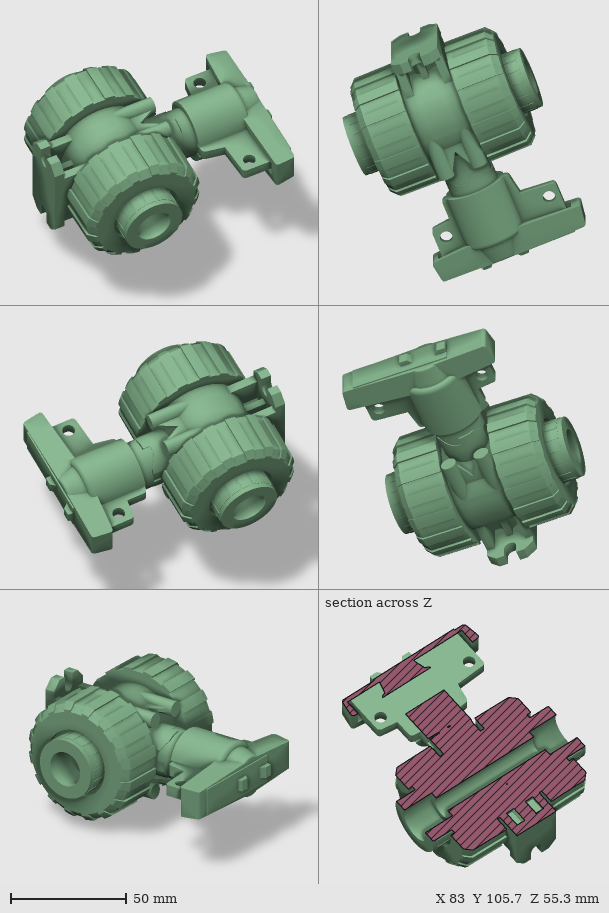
import cadquery as cq
import math


body_radius = 42.0 / 2
flow_bore_diameter = 10.0
end_half_length = 83.0 / 2
end_diameter = 27.3
socket_diameter = 16.0
socket_depth = 14.8
pad_count = 16
pad_width = 4.3
pad_diameter = 27.7
pad_outer_x = 39.2

nut_inner_x = 12.0
nut_outer_x = 33.5
nut_chamfer = 3.0
nut_radius = 27.8
nut_draft = 0.2
nut_recess_diameter = 30.9
nut_recess_depth = 2.1
groove_count = 16
groove_width = 5.8
groove_depth = 1.1

rib_diameter = 7.0
rib_x = 7.6
rib_z = 16.9
rib_start_y = 3.2
rib_end_y = 23.7
guard_web_top_z = 17.8
guard_web_thickness = 1.7
guard_notch_tip_y = 13.8
guard_notch_half_width = 5.4

neck_radius = 11.3
neck_half_width = 10.1
neck_root_y = 8.5
neck_top_y = 30.6
stem_radius = 22.0 / 2
stem_top_y = 47.5
skirt_low_y = 27.4
skirt_high_y = 31.1
skirt_ramp_start_angle = -27.0
skirt_ramp_end_angle = 10.0
quadrant_angles = (45, 135, 225, 315)

hub_radius = 13.7
hub_bottom_y = 36.1
hub_top_y = 61.7
hub_rounding = 2.2
hub_slot_width = 7.0
hub_slot_top_y = 60.2
cone_base_radius = 11.4
cone_top_radius = 9.3
cone_rounding = 0.8

bar_top_y = 69.8
bar_left_x = -29.9
bar_right_x = 39.9
bar_end_bottom_y = 60.2
bar_mid_bottom_y = 58.4
bar_mid_half_length = 8.5
bar_end_slant = 1.4
bar_rounding = 1.4
bar_end_half_top = 6.3
bar_end_half_bottom = 7.1
bar_mid_half_top = 8.2
bar_mid_half_bottom = 9.0
pocket_width = 7.6
pocket_left_wall = 3.2
pocket_right_wall = 4.4
pocket_top_y = 67.6
cap_top_y = 70.5
cap_width = 12.5

key_thickness = 5.1
ear_left_x = -24.9
ear_right_x = 33.3
ear_outer_y = 47.5
ear_inner_y = 46.4
key_left_x = -15.6
key_right_x = 17.3
key_right_taper = 1.7
key_corner_y = 36.7
key_rounding = 1.8
ear_hole_diameter = 5.5
ear_hole_y = 52.7
ear_hole_left_x = -20.0
ear_hole_right_x = 28.3
fork_half_width = 10.8
fork_tip_y = 72.7
fork_tip_x = 7.0
fork_root_x = 5.1
fork_rounding = 0.5

foot_half_width = 10.8
foot_half_height = 44.1 / 2
foot_outer_y = -33.0
foot_thickness = 4.6
foot_chamfer = 4.1
foot_slot_width = 5.7
foot_slot_center_z = 17.1
foot_root_y = -10.6
leg_thickness = 3.7
leg_half_height = 14.4
foot_boss_diameter = 8.7
stiffener_thickness = 3.0
stiffener_half_height = 8.9


def box(x_range, y_range, z_range):
    """Axis-aligned box between the given limits."""
    size = [high - low for low, high in (x_range, y_range, z_range)]
    corner = (x_range[0], y_range[0], z_range[0])
    return cq.Workplane("XY").box(*size, centered=False).translate(corner)


def cylinder_x(radius, x_start, x_end):
    """Cylinder on the flow axis."""
    return cq.Workplane("YZ", origin=(x_start, 0, 0)).circle(radius).extrude(x_end - x_start)


def cylinder_y(radius, y_start, y_end, x=0.0, z=0.0):
    """Cylinder parallel to the stem axis."""
    return cq.Workplane("XZ", origin=(x, y_start, z)).circle(radius).extrude(y_start - y_end)


def plate_xy(points, thickness):
    """Flat plate with the given XY outline, centred on Z = 0."""
    return cq.Workplane("XY").polyline(points).close().extrude(thickness / 2, both=True)


def nut_blank(outer_radius):
    """Drafted, chamfered disc on the +X side."""
    chamfer_x = nut_outer_x - nut_chamfer
    edge_radius = outer_radius - nut_draft
    profile = [
        (nut_inner_x, 0),
        (nut_inner_x, outer_radius),
        (chamfer_x, edge_radius),
        (nut_outer_x, edge_radius - nut_chamfer),
        (nut_outer_x, 0),
    ]
    return cq.Workplane("XY").polyline(profile).close().revolve(360, (0, 0, 0), (1, 0, 0))


def union_nut():
    """Nut with grip grooves all round and a recess around the pipe end."""
    rim = nut_blank(nut_radius).cut(nut_blank(nut_radius - groove_depth))
    groove_bar = box((0, end_half_length), (-groove_width / 2, groove_width / 2), (0, nut_radius + 1.1))
    for i in range(groove_count):
        rim = rim.cut(groove_bar.rotate((0, 0, 0), (1, 0, 0), i * 360 / groove_count))
    recess = cylinder_x(nut_recess_diameter / 2, nut_outer_x - nut_recess_depth, nut_outer_x)
    return rim.union(nut_blank(nut_radius - groove_depth)).cut(recess)


def pipe_end():
    """Pipe end on the +X side with low raised pads behind its plain collar."""
    end = cylinder_x(end_diameter / 2, 0, end_half_length)
    pad_ring = cylinder_x(pad_diameter / 2, nut_inner_x, pad_outer_x)
    pad_bar = box((0, end_half_length), (-pad_width / 2, pad_width / 2), (0, nut_radius))
    for i in range(pad_count):
        end = end.union(pad_ring.intersect(pad_bar.rotate((0, 0, 0), (1, 0, 0), i * 360 / pad_count)))
    return end


def guard():
    """Two round ribs joined by a notched web, on the +Z side of the neck."""
    web = box(
        (-rib_x, rib_x),
        (0, rib_end_y),
        (guard_web_top_z - guard_web_thickness, guard_web_top_z),
    )
    notch = (
        cq.Workplane("XY")
        .polyline(
            [
                (0, guard_notch_tip_y),
                (guard_notch_half_width, rib_end_y),
                (-guard_notch_half_width, rib_end_y),
            ]
        )
        .close()
        .extrude(guard_web_top_z)
    )
    pair = web.cut(notch)
    for x in (-rib_x, rib_x):
        pair = pair.union(cylinder_y(rib_diameter / 2, rib_start_y, rib_end_y, x, rib_z))
    return pair


def skirt_notch(angle):
    """Ramped cut-out under one quadrant of the stem skirt; angle is its middle direction."""
    reach = 2 * stem_radius
    ramp_start = stem_radius * math.sin(math.radians(skirt_ramp_start_angle))
    ramp_end = stem_radius * math.sin(math.radians(skirt_ramp_end_angle))
    ramp = (
        cq.Workplane("XY")
        .polyline(
            [
                (-ramp_start, skirt_low_y),
                (-ramp_end, skirt_high_y),
                (-reach, skirt_high_y),
                (-reach, skirt_low_y),
            ]
        )
        .close()
        .extrude(reach)
    )
    ramp = ramp.rotate((0, 0, 0), (0, 1, 0), 90 - angle)
    quadrant = box((0, reach), (0, hub_bottom_y), (0, reach))
    quadrant = quadrant.rotate((0, 0, 0), (0, 1, 0), 45 - angle)
    return ramp.intersect(quadrant)


def neck_and_stem():
    """Flat-sided neck whose raised stops fill the cut-outs of the stem skirt."""
    stem = cylinder_y(stem_radius, skirt_low_y, stem_top_y)
    flats = box(
        (-neck_half_width, neck_half_width),
        (neck_root_y, neck_top_y),
        (-neck_radius, neck_radius),
    )
    neck = cylinder_y(neck_radius, neck_root_y, neck_top_y).intersect(flats)
    lower_neck = neck.intersect(cylinder_y(neck_radius, neck_root_y, skirt_low_y))
    for angle in quadrant_angles:
        notch = skirt_notch(angle)
        stem = stem.cut(notch)
        lower_neck = lower_neck.union(neck.intersect(notch))
    return stem.union(lower_neck)


def bar_section(x, half_top, half_bottom):
    """Trapezoid across the bar at the given X, wider at the bottom."""
    return [
        cq.Vector(x, bar_mid_bottom_y, -half_bottom),
        cq.Vector(x, bar_top_y, -half_top),
        cq.Vector(x, bar_top_y, half_top),
        cq.Vector(x, bar_mid_bottom_y, half_bottom),
    ]


def handle_bar():
    """Bar with slanted ends, thinning from the hub to both ends, hollow from below."""
    outline = [
        (bar_left_x, bar_end_bottom_y),
        (bar_left_x + bar_end_slant, bar_top_y),
        (bar_right_x - bar_end_slant, bar_top_y),
        (bar_right_x, bar_end_bottom_y),
        (bar_mid_half_length, bar_mid_bottom_y),
        (-bar_mid_half_length, bar_mid_bottom_y),
    ]
    blank = plate_xy(outline, 2 * hub_radius)
    for x, y in outline[:4]:
        blank = blank.edges(cq.NearestToPointSelector((x, y, 0))).fillet(bar_rounding)
    middle = cq.Wire.makePolygon(bar_section(0, bar_mid_half_top, bar_mid_half_bottom), close=True)
    bar = None
    for x in (bar_left_x, bar_right_x):
        end = cq.Wire.makePolygon(bar_section(x, bar_end_half_top, bar_end_half_bottom), close=True)
        half = cq.Workplane("XY").newObject([cq.Solid.makeLoft([middle, end], True)])
        bar = half if bar is None else bar.union(half)
    pocket = box(
        (bar_left_x + pocket_left_wall, bar_right_x - pocket_right_wall),
        (hub_bottom_y, pocket_top_y),
        (-pocket_width / 2, pocket_width / 2),
    )
    cap = box((-fork_half_width, ear_right_x), (pocket_top_y, cap_top_y), (-cap_width / 2, cap_width / 2))
    return bar.intersect(blank).cut(pocket).union(cap)


def hub_slot():
    """Slot through the hub from side to side, open at the bottom."""
    return box(
        (-hub_radius, hub_radius),
        (hub_bottom_y, hub_slot_top_y),
        (-hub_slot_width / 2, hub_slot_width / 2),
    )


def hub():
    """Round hub with a rounded shoulder and a tapered crown rising into the bar."""
    barrel = cylinder_y(hub_radius, hub_bottom_y, hub_top_y).faces(">Y").edges().fillet(hub_rounding)
    crown = (
        cq.Workplane("XY")
        .polyline(
            [
                (0, hub_bottom_y),
                (cone_base_radius, hub_bottom_y),
                (cone_base_radius, hub_top_y),
                (cone_top_radius, bar_top_y),
                (0, bar_top_y),
            ]
        )
        .close()
        .revolve(360, (0, 0, 0), (0, 1, 0))
        .faces(">Y")
        .edges()
        .fillet(cone_rounding)
    )
    return barrel.union(crown).cut(hub_slot())


def key():
    """Flat key through the hub slot and bar pocket, with two drilled ears."""
    outline = [
        (ear_left_x, bar_top_y),
        (ear_left_x, ear_outer_y),
        (key_left_x, ear_inner_y),
        (key_left_x, key_corner_y),
        (-stem_radius, hub_bottom_y),
        (stem_radius, hub_bottom_y),
        (key_right_x - key_right_taper, key_corner_y),
        (key_right_x, ear_inner_y),
        (ear_right_x, ear_outer_y),
        (ear_right_x, bar_top_y),
    ]
    rounded_corners = [outline[i] for i in (1, 3, 6, 8)]
    blade = plate_xy(outline, key_thickness)
    for x, y in rounded_corners:
        blade = blade.edges(cq.NearestToPointSelector((x, y, 0))).fillet(key_rounding)
    for x in (ear_hole_left_x, ear_hole_right_x):
        hole = cq.Workplane("XY").center(x, ear_hole_y).circle(ear_hole_diameter / 2)
        blade = blade.cut(hole.extrude(key_thickness, both=True))
    return blade


def fork():
    """Two prongs standing on top of the handle bar."""
    prong = plate_xy(
        [
            (fork_half_width, pocket_top_y),
            (fork_half_width, fork_tip_y),
            (fork_tip_x, fork_tip_y),
            (fork_root_x, cap_top_y),
            (fork_root_x, pocket_top_y),
        ],
        key_thickness,
    )
    prong = prong.edges("|Z and >X and >Y").fillet(fork_rounding)
    return prong.union(prong.mirror("YZ"))


def handle():
    """Slotted hub, hollow bar and flat key joined into one lever."""
    return hub().union(handle_bar().cut(hub_slot())).union(key()).union(fork())


def foot():
    """Slotted foot plate carried by two legs and a ribbed centre boss."""
    inner_y = foot_outer_y + foot_thickness
    plate = box(
        (-foot_half_width, foot_half_width),
        (foot_outer_y, inner_y),
        (-foot_half_height, foot_half_height),
    )
    plate = plate.edges("|Y").chamfer(foot_chamfer)
    slot_half = foot_slot_width / 2
    y_span = (foot_outer_y, inner_y)
    slot = box((-slot_half, slot_half), y_span, (foot_slot_center_z, foot_half_height))
    slot = slot.union(cylinder_y(slot_half, *y_span, z=foot_slot_center_z))
    plate = plate.cut(slot).cut(slot.mirror("XY"))

    leg_inner_x = foot_half_width - leg_thickness
    web_half = stiffener_thickness / 2
    support_y = (inner_y, foot_root_y)
    leg = box((leg_inner_x, foot_half_width), support_y, (-leg_half_height, leg_half_height))
    cross_web = box((-leg_inner_x, leg_inner_x), support_y, (-web_half, web_half))
    stiffener = box((-web_half, web_half), support_y, (-stiffener_half_height, stiffener_half_height))
    boss = cylinder_y(foot_boss_diameter / 2, *support_y)
    for support in (leg, leg.mirror("YZ"), cross_web, stiffener, boss):
        plate = plate.union(support)
    return plate


result = cylinder_x(body_radius, -nut_inner_x, nut_inner_x).union(foot()).union(neck_and_stem())
result = result.union(guard()).union(guard().mirror("XY"))

coupling = union_nut().union(pipe_end())
result = result.union(coupling).union(coupling.mirror("YZ")).union(handle())

result = result.cut(cylinder_x(flow_bore_diameter / 2, -end_half_length, end_half_length))
socket = cylinder_x(socket_diameter / 2, end_half_length - socket_depth, end_half_length)
result = result.cut(socket).cut(socket.mirror("YZ"))